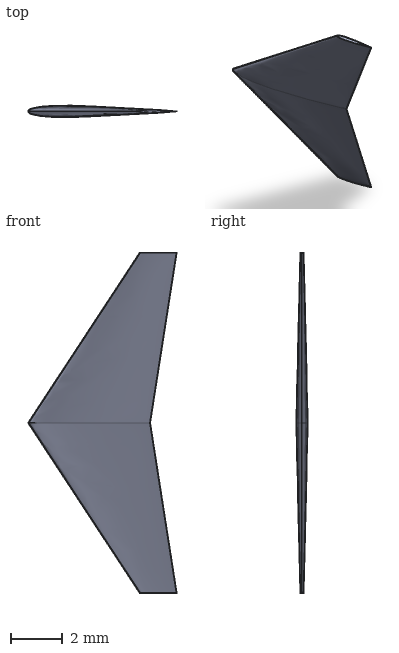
import cadquery as cq
import math

span = 13.11
length = 5.72
root_chord = 4.69
tip_chord = 1.42
root_thickness = 0.46
thickness_ratio = root_thickness / root_chord
tip_sweep = length - tip_chord
stations = 16


def half_thickness(u):
    """Closed NACA four-digit half thickness, for a unit chord, at position u."""
    shape = 0.2969 * math.sqrt(u) - 0.1260 * u - 0.3516 * u**2 + 0.2843 * u**3 - 0.1036 * u**4
    return 5 * thickness_ratio * shape


def airfoil(leading_edge, chord, height):
    """Symmetric airfoil wire at a given spanwise height, sharp at the trailing edge."""
    positions = [(1 - math.cos(math.pi * i / stations)) / 2 for i in range(stations + 1)]
    upper = [cq.Vector(leading_edge + chord * u, chord * half_thickness(u), height) for u in positions[:-1]]
    upper.append(cq.Vector(leading_edge + chord, 0, height))
    lower = [cq.Vector(point.x, -point.y, height) for point in upper]
    upper_edge = cq.Edge.makeSpline(upper)
    lower_edge = cq.Edge.makeSpline(lower[::-1])
    return cq.Wire.assembleEdges([upper_edge, lower_edge])


def half_wing(tip_height):
    """Straight-sided loft from the root airfoil to one tip."""
    root = airfoil(0, root_chord, 0)
    tip = airfoil(tip_sweep, tip_chord, tip_height)
    return cq.Workplane(cq.Solid.makeLoft([root, tip], True))


upper_wing = half_wing(span / 2)
lower_wing = upper_wing.mirror("XY")
result = upper_wing.union(lower_wing)